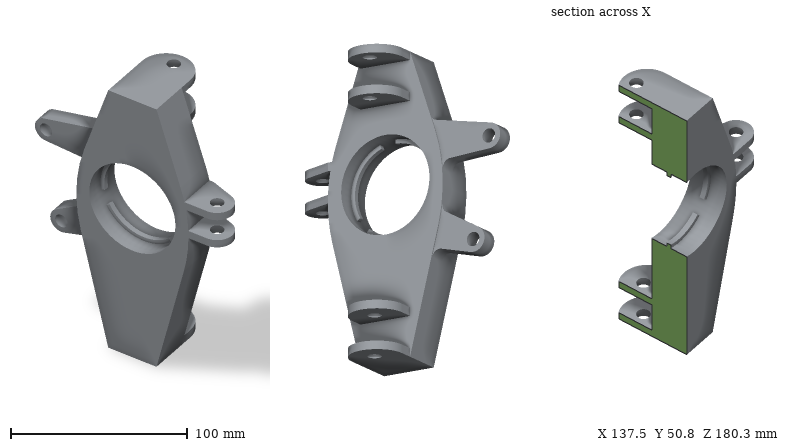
import cadquery as cq
import math

body_depth = 25.4
body_top = 76.2
body_bottom = -104.14
end_half_width = 16.51
waist_half_width = 42.6
waist_z = -0.2
waist_radius = 101.6

bore_radius = 29.46
lip_radius = 26.92
lip_count = 3
lip_first_angle = 90.0
lip_sweep = 100.0
lip_front = 11.43
lip_thickness = 3.302

lug_thickness = 5.08
lug_gap = 19.05
lug_reach = 50.8
lug_pitch = lug_thickness + lug_gap
lug_hole_radius = 4.1275
upper_lug_hole_y = 41.91
lower_lug_hole_y = 36.83

clevis_thickness = 5.08
clevis_tops = (19.05, 0.0)
clevis_radius = 10.16
clevis_x = 51.13
clevis_hole_radius = 4.1275
clevis_shoulder_x = 38.4

ear_front = 14.1
ear_thickness = 10.5
ear_radius = 7.62
ear_hole_radius = 4.19
ear_root_x = -30.0
ears = (
    ((-68.58, 18.6), 11.3, -3.5, 4.06, 5.08),
    ((-58.1, -40.9), 29.5, 14.5, 5.08, 5.08),
)

embed = 1.0
same_point = 0.01


def extrude_y(outline, start, depth):
    """Turn an XZ wire into a prism reaching from y = start to y = start + depth."""
    return outline.extrude(-depth).translate((0, start, 0))


def cylinder_y(x, z, radius, start, depth):
    """Cylinder along Y, its axis through (x, z)."""
    return extrude_y(cq.Workplane("XZ").center(x, z).circle(radius), start, depth)


def plate(start, depth):
    """Layer of the body: tapered top and bottom ends, with the waist corners rounded."""
    outline = cq.Workplane("XZ").polyline([
        (-end_half_width, body_bottom),
        (end_half_width, body_bottom),
        (waist_half_width, waist_z),
        (end_half_width, body_top),
        (-end_half_width, body_top),
        (-waist_half_width, waist_z),
    ]).close()
    sharp = extrude_y(outline, start, depth)
    return sharp.edges("|Y and (>X or <X)").fillet(waist_radius)


def ear(pin, upper_angle, lower_angle):
    """Tapered arm whose straight edges are tangent to its round end."""
    pin_x, pin_z = pin

    def edge_points(angle, side):
        slope = math.radians(angle)
        tangent_x = pin_x - side * ear_radius * math.sin(slope)
        tangent_z = pin_z + side * ear_radius * math.cos(slope)
        root_z = tangent_z + (ear_root_x - tangent_x) * math.tan(slope)
        return (tangent_x, tangent_z), (ear_root_x, root_z)

    upper_tangent, upper_root = edge_points(upper_angle, 1)
    lower_tangent, lower_root = edge_points(lower_angle, -1)
    outline = (
        cq.Workplane("XZ")
        .moveTo(*upper_root)
        .lineTo(*upper_tangent)
        .threePointArc((pin_x - ear_radius, pin_z), lower_tangent)
        .lineTo(*lower_root)
        .close()
    )
    return extrude_y(outline, ear_front, ear_thickness)


def join_ear(base, spec):
    """Add one ear to a slice of the body, blend its two roots and drill its pin hole."""
    (pin_x, pin_z), upper_angle, lower_angle, upper_fillet, lower_fillet = spec
    arm = ear((pin_x, pin_z), upper_angle, lower_angle)
    old_centers = [edge.Center() for part in (base, arm) for edge in part.edges("|Y").vals()]

    def is_root(edge):
        return all((edge.Center() - center).Length > same_point for center in old_centers)

    joined = base.union(arm)
    joined = joined.edges("|Y").filter(is_root).edges(">Z").fillet(upper_fillet)
    joined = joined.edges("|Y").filter(is_root).edges("<Z").fillet(lower_fillet)
    return joined.cut(cylinder_y(pin_x, pin_z, ear_hole_radius, ear_front, ear_thickness))


def eared_slice():
    """Slice of the body as deep as the ears, with the ears blended into its side."""
    joined = plate(ear_front, ear_thickness)
    for spec in ears:
        joined = join_ear(joined, spec)
    return joined


def lug(top_z, hole_y):
    """Round-ended plate behind the body, with a pin hole along Z."""
    arc_center_y = lug_reach - end_half_width
    root_y = body_depth - embed
    return (
        cq.Workplane("XY", origin=(0, 0, top_z - lug_thickness))
        .moveTo(-end_half_width, root_y)
        .lineTo(end_half_width, root_y)
        .lineTo(end_half_width, arc_center_y)
        .threePointArc((0, lug_reach), (-end_half_width, arc_center_y))
        .close()
        .moveTo(0, hole_y)
        .circle(lug_hole_radius)
        .extrude(lug_thickness)
    )


def clevis_tab(top_z):
    """Tab flush with the front face, sloping from the rear face to its round end."""
    center_y = clevis_radius
    run = clevis_x - clevis_shoulder_x
    drop = body_depth - center_y
    slope = math.atan2(drop, run) - math.asin(clevis_radius / math.hypot(run, drop))
    tangent = (
        clevis_x + clevis_radius * math.sin(slope),
        center_y + clevis_radius * math.cos(slope),
    )
    root_x = bore_radius + embed
    return (
        cq.Workplane("XY", origin=(0, 0, top_z - clevis_thickness))
        .moveTo(root_x, 0)
        .lineTo(clevis_x, 0)
        .threePointArc((clevis_x + clevis_radius, center_y), tangent)
        .lineTo(clevis_shoulder_x, body_depth)
        .lineTo(root_x, body_depth)
        .close()
        .moveTo(clevis_x, center_y)
        .circle(clevis_hole_radius)
        .extrude(clevis_thickness)
    )


def lip(start_angle):
    """Arc-shaped ridge on the bore wall."""
    def polar(radius, angle):
        turn = math.radians(angle)
        return radius * math.cos(turn), radius * math.sin(turn)

    outer_radius = bore_radius + embed
    middle_angle = start_angle + lip_sweep / 2
    end_angle = start_angle + lip_sweep
    outline = (
        cq.Workplane("XZ")
        .moveTo(*polar(lip_radius, start_angle))
        .lineTo(*polar(outer_radius, start_angle))
        .threePointArc(polar(outer_radius, middle_angle), polar(outer_radius, end_angle))
        .lineTo(*polar(lip_radius, end_angle))
        .threePointArc(polar(lip_radius, middle_angle), polar(lip_radius, start_angle))
        .close()
    )
    return extrude_y(outline, lip_front, lip_thickness)


result = plate(0, body_depth).union(eared_slice())
for top_z in clevis_tops:
    result = result.union(clevis_tab(top_z))
for top_z in (body_top, body_top - lug_pitch):
    result = result.union(lug(top_z, upper_lug_hole_y))
for bottom_z in (body_bottom, body_bottom + lug_pitch):
    result = result.union(lug(bottom_z + lug_thickness, lower_lug_hole_y))
result = result.cut(cylinder_y(0, 0, bore_radius, 0, body_depth))
for index in range(lip_count):
    result = result.union(lip(lip_first_angle + index * 360 / lip_count))